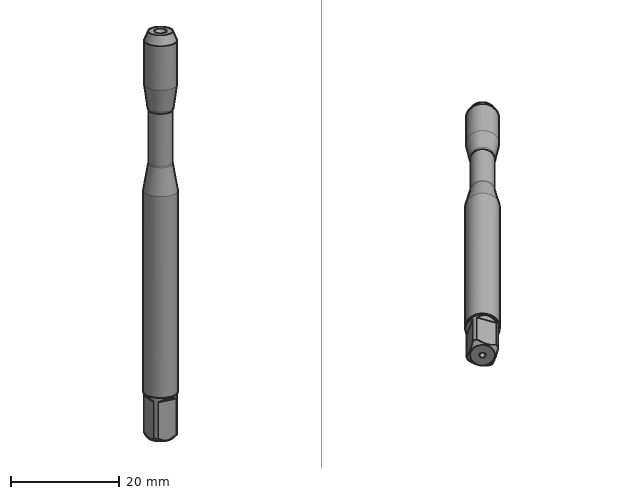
import cadquery as cq
import math

length = 80.0
shank_diameter = 6.5
head_diameter = 6.2
neck_diameter = 4.6
tip_diameter = 4.6
head_taper_diameter = 4.9

shank_top = 48.6
neck_bottom = 54.1
neck_top = 64.5
neck_blend_radius = 1.6
head_taper_bottom = 65.0
head_bottom = 69.5
head_top = 78.2

square_width = 5.0
square_corner_diameter = 6.2
square_length = 8.0
square_end_diameter = 4.6
shoulder_top = 9.0

bore_diameter = 1.1
centre_diameter = 2.3
centre_angle = 75.0


def make_body():
    """Revolve the stepped outer profile and blend the shank taper into the neck."""
    selection_margin = 0.1
    corner_radius = square_corner_diameter / 2
    end_radius = square_end_diameter / 2
    end_chamfer = corner_radius - end_radius
    shoulder_chamfer = (shank_diameter - square_corner_diameter) / 2
    profile = [
        (0, 0),
        (end_radius, 0),
        (corner_radius, end_chamfer),
        (corner_radius, shoulder_top - shoulder_chamfer),
        (shank_diameter / 2, shoulder_top),
        (shank_diameter / 2, shank_top),
        (neck_diameter / 2, neck_bottom),
        (neck_diameter / 2, neck_top),
        (head_taper_diameter / 2, head_taper_bottom),
        (head_diameter / 2, head_bottom),
        (head_diameter / 2, head_top),
        (tip_diameter / 2, length),
        (0, length),
    ]
    body = cq.Workplane("XZ").polyline(profile).close().revolve(360, (0, 0), (0, 1))
    neck_edge = cq.selectors.BoxSelector(
        (-neck_diameter, -neck_diameter, neck_bottom - selection_margin),
        (neck_diameter, neck_diameter, neck_bottom + selection_margin),
    )
    return body.edges(neck_edge).fillet(neck_blend_radius)


def make_flat_cutter():
    """Material beyond one drive flat, ending in a sloping shoulder."""
    flat = square_width / 2
    outside = shank_diameter / 2
    ramp_top = square_length + outside - flat
    return (
        cq.Workplane("XZ")
        .polyline([(flat, 0), (outside, 0), (outside, ramp_top), (flat, square_length)])
        .close()
        .extrude(outside, both=True)
    )


def make_bore():
    """Through bore opening into a conical centre at the tip."""
    bore_radius = bore_diameter / 2
    centre_radius = centre_diameter / 2
    centre_depth = (centre_radius - bore_radius) / math.tan(math.radians(centre_angle / 2))
    profile = [
        (0, 0),
        (bore_radius, 0),
        (bore_radius, length - centre_depth),
        (centre_radius, length),
        (0, length),
    ]
    return cq.Workplane("XZ").polyline(profile).close().revolve(360, (0, 0), (0, 1))


result = make_body()
flat_cutter = make_flat_cutter()
for side in range(4):
    result = result.cut(flat_cutter.rotate((0, 0, 0), (0, 0, 1), 90 * side))
result = result.cut(make_bore())